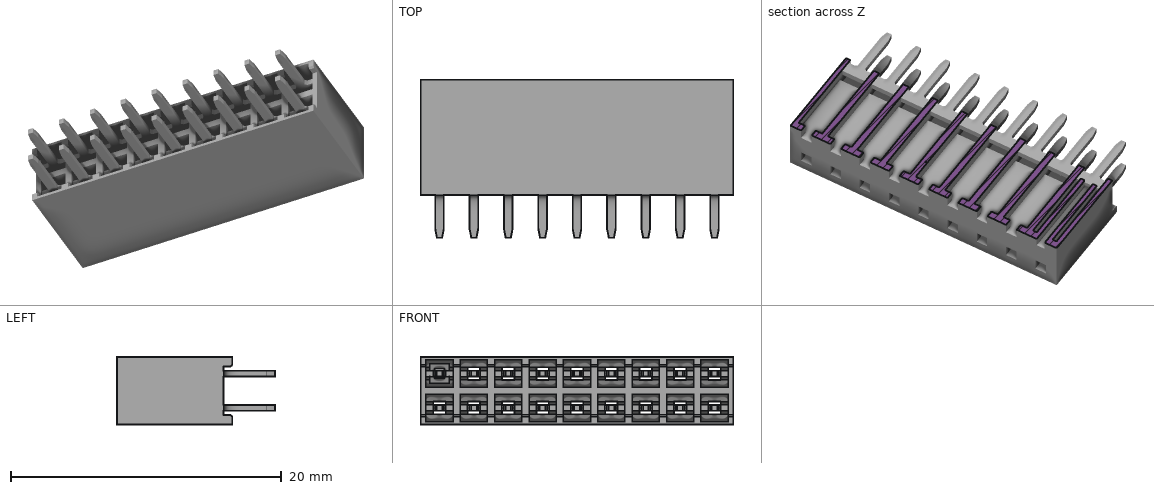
import cadquery as cq

body_width = 23.1
body_height = 5.0
body_depth = 8.53
total_depth = 11.7

columns = 9
rows = 2
outer_margins = 0.25
pitch = (body_width - outer_margins) / columns

notch_depth = 0.65
lip_height = 0.72
lip_chamfer = 0.15

pocket_size = 2.0
slot_height = 0.92
opening_width = 0.9
mating_wall = 0.6
pocket_depth = 2.15

plate_setback = 0.23
plate_length = 0.92
plate_thickness = 0.45
root_width = 0.95
root_flare = 0.15
pin_width = 0.65
tip_width = 0.4
tip_length = 0.65

insert_size = 1.4
insert_hole = 0.67
insert_setback = 0.46

pin_length = total_depth - body_depth
slot_end = body_depth - mating_wall
plate_front = notch_depth + plate_setback
insert_front = pocket_depth - insert_setback
column_places = [(i - (columns - 1) / 2) * pitch for i in range(columns)]
row_places = [(i - (rows - 1) / 2) * pitch for i in range(rows)]
cells = [(x, z) for x in column_places for z in row_places]


def block(width, height, start, end, x=0, z=0):
    """Box centred at (x, z) that runs from start to end along Y."""
    return cq.Workplane("XY").box(width, end - start, height).translate((x, (start + end) / 2, z))


def make_body():
    """Outer shell: one side profile with the notch, drawn in YZ and swept along X."""
    half = body_height / 2
    lip = half - lip_height
    return (
        cq.Workplane("YZ", origin=(-body_width / 2, 0, 0))
        .moveTo(body_depth, -half)
        .lineTo(0, -half)
        .lineTo(0, -lip - lip_chamfer)
        .lineTo(lip_chamfer, -lip)
        .lineTo(notch_depth, -lip)
        .lineTo(notch_depth, lip)
        .lineTo(lip_chamfer, lip)
        .lineTo(0, lip + lip_chamfer)
        .lineTo(0, half)
        .lineTo(body_depth, half)
        .close()
        .extrude(body_width)
    )


def make_cell(x, z):
    """Stepped cavity of one contact."""
    pocket = block(pocket_size, pocket_size, 0, pocket_depth, x, z)
    slot = block(pocket_size, slot_height, 0, slot_end, x, z)
    opening = block(opening_width, slot_height, 0, body_depth, x, z)
    return pocket.union(slot).union(opening)


def make_contact(x, z):
    """Plate across the pocket with a flared root and a pin tapered at its tip."""
    half_root = root_width / 2
    half_pin = pin_width / 2
    half_tip = tip_width / 2
    half_plate = pocket_size / 2
    right_side = [
        (half_plate, plate_front + plate_length),
        (half_plate, plate_front),
        (half_root, plate_front),
        (half_pin, plate_front - root_flare),
        (half_pin, tip_length - pin_length),
        (half_tip, -pin_length),
    ]
    left_side = [(-px, py) for px, py in reversed(right_side)]
    return (
        cq.Workplane("XY")
        .polyline(right_side + left_side)
        .close()
        .extrude(plate_thickness / 2, both=True)
        .translate((x, 0, z))
    )


def make_insert(x, z):
    """Square sleeve behind the plate, reaching the mating face."""
    sleeve = block(insert_size, insert_size, insert_front, body_depth, x, z)
    return sleeve.cut(block(insert_hole, insert_hole, 0, body_depth, x, z))


result = make_body()
for x, z in cells:
    result = result.cut(make_cell(x, z))

result = result.union(make_insert(column_places[0], row_places[-1]))
for x, z in cells:
    result = result.union(make_contact(x, z))